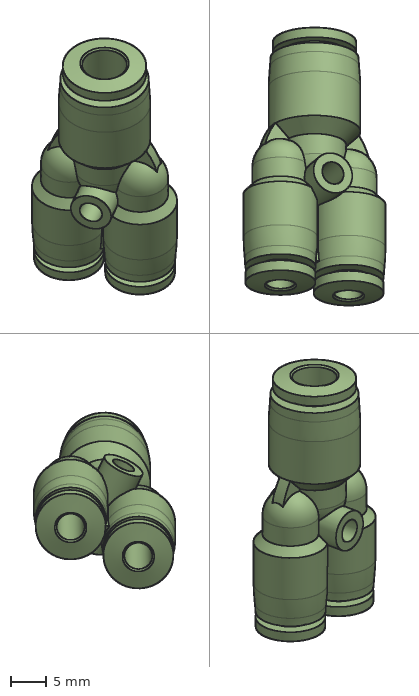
import cadquery as cq

total_height = 38.0
branch_radius = 5.25
branch_spacing = 10.53
branch_x = branch_spacing / 2

collar_rim = 0.4
collar_end = 1.9
flare_end = 2.2
body_start = 2.85
band_end = 4.18
taper_end = 7.22
mouth_chamfer = 0.25
flare_width = 0.25
band_growth = 0.08
taper_bulge = 0.7

main_radius = 13.0 / 2
main_band_radius = 12.5 / 2
main_collar_radius = 11.8 / 2
main_sleeve_radius = 8.35 / 2
main_bore_radius = 6.35 / 2
main_shoulder_z = 24.05
stem_radius = 4.5
stem_dome_z = 19.08

branch_band_radius = 10.0 / 2
branch_collar_radius = 9.9 / 2
branch_sleeve_radius = 5.95 / 2
branch_bore_radius = 3.95 / 2
branch_shoulder_z = 13.75
dome_radius = 4.0
dome_centre_z = 17.95

bore_depth = 13.68
passage_radius = 2.5 / 2
passage_bottom_z = 19.75

boss_radius = 5.95 / 2
boss_length = 13.0
boss_z = 15.55
pin_hole_radius = 3.3 / 2

rib_thickness = 1.98
rib_mid = (7.4, 22.45)
rib_foot = (8.1, 20.55)

web_thickness = rib_thickness
web_width = 2.28
web_bottom_z = band_end


def port_outline(z_at, collar_r, sleeve_r, band_r, body_r, mouth_r):
    """Start a half-section (radius, z) from the mouth to the full body radius."""
    taper_start_r = band_r + band_growth
    taper_mid_r = taper_start_r + taper_bulge * (body_r - taper_start_r)
    return (
        cq.Workplane("XZ")
        .moveTo(0, z_at(0))
        .lineTo(mouth_r, z_at(0))
        .lineTo(collar_r, z_at(collar_rim))
        .lineTo(collar_r, z_at(collar_end))
        .lineTo(sleeve_r + flare_width, z_at(collar_end))
        .lineTo(sleeve_r, z_at(flare_end))
        .lineTo(sleeve_r, z_at(body_start))
        .lineTo(band_r, z_at(body_start))
        .lineTo(taper_start_r, z_at(band_end))
        .threePointArc((taper_mid_r, z_at((band_end + taper_end) / 2)), (body_r, z_at(taper_end)))
    )


def spin(outline):
    return outline.close().revolve(360, (0, 0, 0), (0, 1, 0))


def port_bore(z_at, radius):
    """Blind bore with a chamfered mouth."""
    return spin(
        cq.Workplane("XZ")
        .moveTo(0, z_at(0))
        .lineTo(radius + mouth_chamfer, z_at(0))
        .lineTo(radius, z_at(mouth_chamfer))
        .lineTo(radius, z_at(bore_depth))
        .lineTo(0, z_at(bore_depth))
    )


def from_top(distance):
    return total_height - distance


def from_bottom(distance):
    return distance


def main_body():
    outline = port_outline(
        from_top, main_collar_radius, main_sleeve_radius, main_band_radius, main_radius,
        main_bore_radius + mouth_chamfer,
    )
    dome_mid = stem_radius * 0.5 ** 0.5
    return spin(
        outline.lineTo(main_radius, main_shoulder_z)
        .lineTo(stem_radius, main_shoulder_z - (main_radius - stem_radius))
        .lineTo(stem_radius, stem_dome_z)
        .threePointArc((dome_mid, stem_dome_z - dome_mid), (0, stem_dome_z - stem_radius))
    )


def branch_body():
    outline = port_outline(
        from_bottom, branch_collar_radius, branch_sleeve_radius, branch_band_radius, branch_radius,
        branch_bore_radius + mouth_chamfer,
    )
    dome_mid = dome_radius * 0.5 ** 0.5
    return spin(
        outline.lineTo(branch_radius, branch_shoulder_z)
        .lineTo(dome_radius, branch_shoulder_z + branch_radius - dome_radius)
        .lineTo(dome_radius, dome_centre_z)
        .threePointArc((dome_mid, dome_centre_z + dome_mid), (0, dome_centre_z + dome_radius))
    )


def rib():
    """Curved rib on the +X side, running into the stem and the dome."""
    return (
        cq.Workplane("XZ")
        .moveTo(0, main_shoulder_z)
        .lineTo(main_radius, main_shoulder_z)
        .threePointArc(rib_mid, rib_foot)
        .lineTo(branch_x, dome_centre_z)
        .lineTo(0, dome_centre_z)
        .close()
        .extrude(rib_thickness / 2, both=True)
    )


def cross_cylinder(radius):
    return cq.Workplane("XZ").center(0, boss_z).circle(radius).extrude(boss_length / 2, both=True)


def web():
    return (
        cq.Workplane("XY", origin=(0, 0, web_bottom_z))
        .rect(web_width, web_thickness)
        .extrude(boss_z - web_bottom_z)
    )


right_branch = branch_body().translate((branch_x, 0, 0))
right_rib = rib()
result = main_body().union(web())
for right_side in (right_rib, right_branch):
    result = result.union(right_side).union(right_side.mirror("YZ"))
result = result.union(cross_cylinder(boss_radius))

right_bore = port_bore(from_bottom, branch_bore_radius).translate((branch_x, 0, 0))
passage = (
    cq.Workplane("XY", origin=(0, 0, passage_bottom_z))
    .circle(passage_radius)
    .extrude(total_height - passage_bottom_z)
)
for opening in (
    right_bore,
    right_bore.mirror("YZ"),
    port_bore(from_top, main_bore_radius),
    passage,
    cross_cylinder(pin_hole_radius),
):
    result = result.cut(opening)